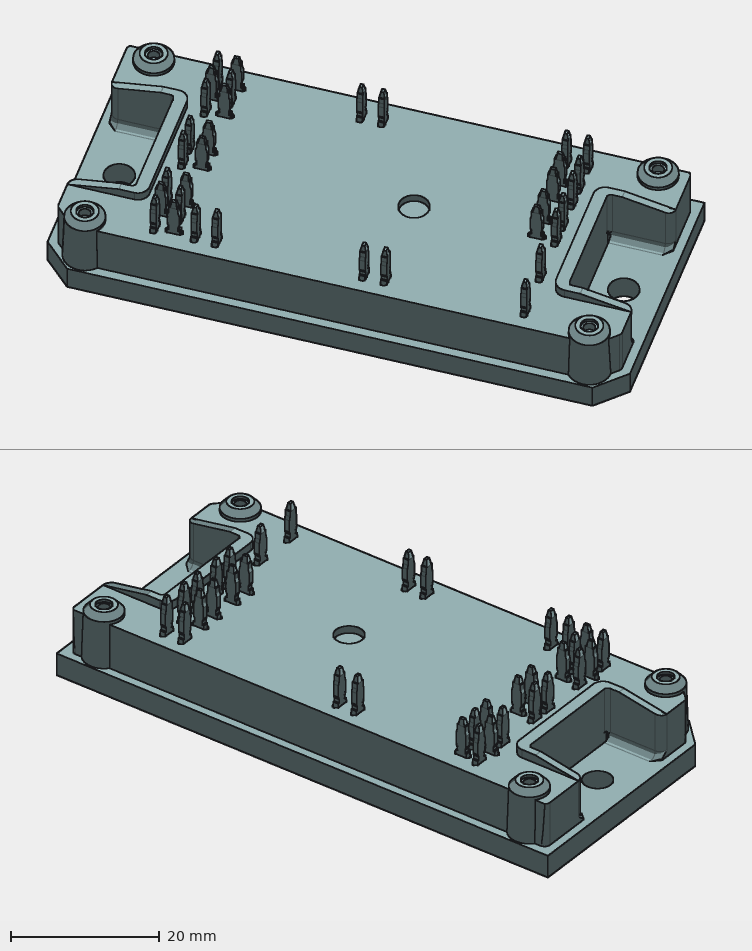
import cadquery as cq

PLATE_LENGTH = 82.0
PLATE_WIDTH = 37.4
PLATE_HEIGHT = 3.5
PLATE_CHAMFER = 4.0
MOUNT_HOLE_DIAMETER = 4.3
MOUNT_HOLE_X = 35.5

HOUSING_LENGTH = 79.4
HOUSING_BOTTOM_WIDTH = 34.7
HOUSING_TOP_WIDTH = 34.3
HOUSING_TOP = 10.4
HOUSING_HEIGHT = HOUSING_TOP - PLATE_HEIGHT
HOUSING_CHAMFER = 3.0
HOUSING_CORNER_RADIUS = 0.9
DIMPLE_DIAMETER = 4.3
DIMPLE_DEPTH = 1.15
DIMPLE_X = 6.0

NOTCH_WALL_X = 30.5
NOTCH_WIDTH = 17.7
NOTCH_EDGE_RADIUS = 1.15
NOTCH_CORNER_RADIUS = 0.6
RIM_TOP = 11.7
RIM_BACK_X = 28.6
RIM_WIDTH = 20.0
RIM_CORNER_RADIUS = 1.6
RAMP_START_X = 32.5
SLOT_WIDTH = 0.4
SLOT_LENGTH = 17.4

BOSS_X = MOUNT_HOLE_X
BOSS_Y = 15.4
BOSS_BOTTOM_RADIUS = 3.0
BOSS_SHOULDER_RADIUS = 2.8
BOSS_TOP_RADIUS = 1.9
BOSS_SHOULDER_Z = 10.9
BOSS_TOP = 11.9
BOSS_BORE_DIAMETER = 2.4
BOSS_BORE_DEPTH = 0.4
PILOT_DIAMETER = 1.6
PILOT_DEPTH = 1.6

PIN_TOP = 16.2
PIN_THICKNESS = 0.8
PIN_TIP_THICKNESS = 0.4
FOOT_HALF_WIDTH = 0.9
NECK_HALF_WIDTH = 0.65
BELLY_HALF_WIDTH = 0.8
TIP_BASE_HALF_WIDTH = 0.5
TIP_HALF_WIDTH = 0.3
FOOT_TOP = 11.0
NECK_TOP = 11.6
BELLY_BOTTOM = 12.0
BELLY_TOP = 13.85
SHOULDER_BOTTOM = 14.4
SHOULDER_TOP = 15.25

SOCKET_LENGTH = 2.55
SOCKET_WIDTH = 1.0
SOCKET_DEPTH = 0.4
SOCKET_FLOOR = HOUSING_TOP - SOCKET_DEPTH

EDGE_ROW = 14.0
MIDDLE_ROW = 11.3
INNER_ROW = 8.7
CENTRE_ROW = 1.5
OUTER_COLUMN = 26.1
INNER_COLUMN = 23.4
RIGHT_PAIR_ROWS = (10.1, 7.05, 2.8, -0.25)

LEFT_PAIR_ROWS = (EDGE_ROW, INNER_ROW, CENTRE_ROW, -CENTRE_ROW, -INNER_ROW, -EDGE_ROW)

PINS_ALONG_Y = (
    [(-OUTER_COLUMN, y) for y in LEFT_PAIR_ROWS]
    + [(-INNER_COLUMN, y) for y in (MIDDLE_ROW, -MIDDLE_ROW)]
    + [(OUTER_COLUMN, y) for y in RIGHT_PAIR_ROWS + (EDGE_ROW, -7.2, -EDGE_ROW)]
    + [(x, EDGE_ROW) for x in (-5.8, -2.8, 23.05)]
    + [(x, -EDGE_ROW) for x in (-20.3, -17.4, 3.4, 6.4)]
)

PINS_ALONG_X = (
    [(-INNER_COLUMN, y) for y in LEFT_PAIR_ROWS]
    + [(-OUTER_COLUMN, y) for y in (MIDDLE_ROW, -MIDDLE_ROW)]
    + [(INNER_COLUMN, y) for y in RIGHT_PAIR_ROWS]
)


def block(x_min, x_max, width, z_min, z_max):
    """Box centred on Y = 0."""
    size_x = x_max - x_min
    return cq.Workplane("XY").box(size_x, width, z_max - z_min, centered=(False, True, False)).translate(
        (x_min, 0, z_min)
    )


def both_ends(right_end):
    """The +X feature together with its mirror image at the -X end."""
    return right_end.union(right_end.mirror("YZ"))


def base_plate():
    plate = cq.Workplane("XY").box(PLATE_LENGTH, PLATE_WIDTH, PLATE_HEIGHT, centered=(True, True, False))
    return plate.edges("|Z and <Y").chamfer(PLATE_CHAMFER)


def housing():
    """Block with chamfered front corners, rounded ends and long walls that lean inward."""
    block_outline = cq.Workplane("XY", origin=(0, 0, PLATE_HEIGHT)).rect(HOUSING_LENGTH, HOUSING_BOTTOM_WIDTH)
    upright = block_outline.extrude(HOUSING_HEIGHT)
    upright = upright.edges("|Z and <Y").chamfer(HOUSING_CHAMFER)
    upright = upright.edges("|Z").edges("<X or >X").fillet(HOUSING_CORNER_RADIUS)
    leaning = (
        cq.Workplane("YZ")
        .moveTo(-HOUSING_BOTTOM_WIDTH / 2, PLATE_HEIGHT)
        .lineTo(HOUSING_BOTTOM_WIDTH / 2, PLATE_HEIGHT)
        .lineTo(HOUSING_TOP_WIDTH / 2, HOUSING_TOP)
        .lineTo(-HOUSING_TOP_WIDTH / 2, HOUSING_TOP)
        .close()
        .extrude(HOUSING_LENGTH / 2, both=True)
    )
    return upright.intersect(leaning)


def rim():
    """Raised rim behind the +X notch, with arms that ramp down to the housing end."""
    end_x = HOUSING_LENGTH / 2
    side_profile = (
        cq.Workplane("XZ")
        .moveTo(RIM_BACK_X, PLATE_HEIGHT)
        .lineTo(RIM_BACK_X, RIM_TOP)
        .lineTo(RAMP_START_X, RIM_TOP)
        .lineTo(end_x, HOUSING_TOP)
        .lineTo(end_x, PLATE_HEIGHT)
        .close()
        .extrude(RIM_WIDTH / 2, both=True)
    )
    return side_profile.edges("|Z and <X").fillet(RIM_CORNER_RADIUS)


def notch():
    """Open space of the +X notch, with rounded inner corners and a rounded foot along both sides."""
    reach = block(NOTCH_WALL_X, PLATE_LENGTH / 2, NOTCH_WIDTH, PLATE_HEIGHT, RIM_TOP)
    round_corners = reach.edges("|Z and <X").fillet(NOTCH_CORNER_RADIUS)
    round_foot = reach.edges("|X and <Z").fillet(NOTCH_EDGE_RADIUS)
    return round_corners.intersect(round_foot)


def notch_mouth():
    """Flare that rounds the two upright outer edges of the +X notch."""
    end_x = HOUSING_LENGTH / 2
    half_width = NOTCH_WIDTH / 2
    radius = NOTCH_EDGE_RADIUS
    return (
        cq.Workplane("XY", origin=(0, 0, PLATE_HEIGHT))
        .moveTo(end_x - radius, -half_width)
        .radiusArc((end_x, -half_width - radius), radius)
        .lineTo(end_x, half_width + radius)
        .radiusArc((end_x - radius, half_width), radius)
        .close()
        .extrude(RIM_TOP - PLATE_HEIGHT)
    )


def notch_flare():
    """Rounded foot around the +Y outer edge of the +X notch, trimmed by a slanted upright plane."""
    end_x = HOUSING_LENGTH / 2
    half_width = NOTCH_WIDTH / 2
    radius = NOTCH_EDGE_RADIUS
    full_ring = (
        cq.Workplane("XZ")
        .moveTo(radius, 0)
        .lineTo(2 * radius, 0)
        .radiusArc((radius, radius), radius)
        .close()
        .revolve(360, (0, 0, 0), (0, 1, 0))
        .translate((end_x - radius, half_width + radius, PLATE_HEIGHT))
    )
    kept_part = (
        cq.Workplane("XY", origin=(0, 0, PLATE_HEIGHT))
        .moveTo(end_x - radius, half_width - radius)
        .lineTo(end_x, half_width)
        .lineTo(end_x, half_width + radius)
        .lineTo(end_x - radius, half_width + radius)
        .close()
        .extrude(radius)
    )
    return full_ring.intersect(kept_part)


def boss():
    """Tapered round post with a conical top, standing on the plate."""
    return (
        cq.Workplane("XZ")
        .moveTo(0, PLATE_HEIGHT)
        .lineTo(BOSS_BOTTOM_RADIUS, PLATE_HEIGHT)
        .lineTo(BOSS_SHOULDER_RADIUS, BOSS_SHOULDER_Z)
        .lineTo(BOSS_TOP_RADIUS, BOSS_TOP)
        .lineTo(0, BOSS_TOP)
        .close()
        .revolve(360, (0, 0, 0), (0, 1, 0))
    )


def pin():
    """Flat pin on the Z axis with its broad face along X, standing on its socket floor."""
    right_edge = [
        (FOOT_HALF_WIDTH, SOCKET_FLOOR),
        (FOOT_HALF_WIDTH, FOOT_TOP),
        (NECK_HALF_WIDTH, FOOT_TOP),
        (NECK_HALF_WIDTH, NECK_TOP),
        (BELLY_HALF_WIDTH, BELLY_BOTTOM),
        (BELLY_HALF_WIDTH, BELLY_TOP),
        (NECK_HALF_WIDTH, SHOULDER_BOTTOM),
        (NECK_HALF_WIDTH, SHOULDER_TOP),
        (TIP_BASE_HALF_WIDTH, SHOULDER_TOP),
        (TIP_HALF_WIDTH, PIN_TOP),
    ]
    left_edge = [(-x, z) for x, z in reversed(right_edge)]
    broad_face = cq.Workplane("XZ").polyline(right_edge + left_edge).close()
    blade = broad_face.extrude(PIN_THICKNESS / 2, both=True)
    tip_bevel = (PIN_THICKNESS - PIN_TIP_THICKNESS) / 2
    return blade.faces(">Z").edges("|X").chamfer(PIN_TOP - SHOULDER_TOP, tip_bevel)


def socket():
    """Cutter for the socket of a pin whose broad face lies along X."""
    outline = cq.Workplane("XY", origin=(0, 0, SOCKET_FLOOR)).slot2D(SOCKET_LENGTH, SOCKET_WIDTH)
    return outline.extrude(SOCKET_DEPTH)


def cylinders(centres, diameter, top, depth):
    """Round cutters going down from the height top."""
    return cq.Workplane("XY", origin=(0, 0, top)).pushPoints(centres).circle(diameter / 2).extrude(-depth)


def at_pin_places(shape):
    """Copies of a shape that lies along X, turned and moved to every pin place."""
    turned = shape.rotate((0, 0, 0), (0, 0, 1), 90)
    copies = [shape.translate((x, y, 0)).val() for x, y in PINS_ALONG_X]
    copies += [turned.translate((x, y, 0)).val() for x, y in PINS_ALONG_Y]
    return cq.Workplane(cq.Compound.makeCompound(copies))


body = housing().union(both_ends(rim()))
body = body.cut(both_ends(notch())).cut(both_ends(notch_mouth()))
body = body.union(base_plate())
flares = both_ends(notch_flare())
body = body.union(flares).union(flares.mirror("XZ"))

slot = block(NOTCH_WALL_X, NOTCH_WALL_X + SLOT_WIDTH, SLOT_LENGTH, 0, PLATE_HEIGHT + NOTCH_EDGE_RADIUS)
body = body.cut(both_ends(slot))

boss_centres = [(x, y) for x in (-BOSS_X, BOSS_X) for y in (-BOSS_Y, BOSS_Y)]
for x, y in boss_centres:
    body = body.union(boss().translate((x, y, 0)))
body = body.cut(cylinders(boss_centres, BOSS_BORE_DIAMETER, BOSS_TOP, BOSS_BORE_DEPTH))
body = body.cut(cylinders(boss_centres, PILOT_DIAMETER, BOSS_TOP, PILOT_DEPTH))

mount_centres = [(-MOUNT_HOLE_X, 0), (MOUNT_HOLE_X, 0)]
body = body.cut(cylinders(mount_centres, MOUNT_HOLE_DIAMETER, PLATE_HEIGHT, PLATE_HEIGHT))
body = body.cut(cylinders([(DIMPLE_X, 0)], DIMPLE_DIAMETER, HOUSING_TOP, DIMPLE_DEPTH))

result = body.cut(at_pin_places(socket())).union(at_pin_places(pin()))